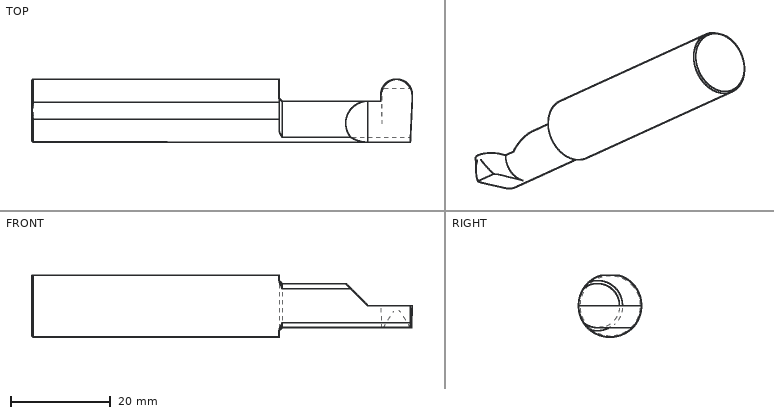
import cadquery as cq

total_length = 76.2
shank_diameter = 12.65
shank_height = 12.4
shank_length = 49.5
end_chamfer = 0.3

neck_radius = 4.4
neck_side = 1.9
root_flare = 0.6

ramp_foot = 67.3
head_start = 69.9
head_draft = 2.0
end_relief = 0.4

shank_radius = shank_diameter / 2
flat_z = shank_height - shank_radius
neck_y = neck_side - neck_radius
nose_radius = (total_length - head_start) / 2
nose_x = head_start + nose_radius
nose_y = shank_radius - nose_radius
head_overlap = nose_x


def bar(radius, start, end, y=0.0):
    """Round bar along X."""
    return cq.Workplane("YZ", origin=(start, y, 0)).circle(radius).extrude(end - start)


def make_shank():
    shank = bar(shank_radius, 0, shank_length).faces("<X").chamfer(end_chamfer)
    above_flat = cq.Workplane("XY", origin=(0, 0, flat_z)).rect(
        2 * total_length, shank_diameter
    ).extrude(shank_radius)
    return shank.cut(above_flat)


def make_neck():
    neck = bar(neck_radius, shank_length, head_overlap, neck_y)
    flare = (
        cq.Workplane("YZ", origin=(shank_length, neck_y, 0))
        .circle(neck_radius + root_flare)
        .workplane(offset=root_flare)
        .circle(neck_radius)
        .loft()
    )
    above_ramp = (
        cq.Workplane("XZ")
        .moveTo(ramp_foot, 0)
        .lineTo(ramp_foot - shank_radius, shank_radius)
        .lineTo(total_length, shank_radius)
        .lineTo(total_length, 0)
        .close()
        .extrude(shank_radius, both=True)
    )
    return neck.union(flare).cut(above_ramp)


def make_head():
    outline = (
        cq.Workplane("XY")
        .moveTo(head_start, -shank_diameter)
        .lineTo(head_start, nose_y)
        .threePointArc((nose_x, shank_radius), (total_length, nose_y))
        .lineTo(total_length, neck_side)
        .lineTo(total_length - end_relief, -shank_radius)
        .lineTo(total_length - end_relief, -shank_diameter)
        .close()
        .extrude(-neck_radius, taper=head_draft)
    )
    flank = bar(neck_radius, head_start, total_length, neck_y)
    nose_block = cq.Workplane("XY").box(
        total_length - head_start, shank_radius - neck_y, neck_radius, centered=False
    ).translate((head_start, neck_y, -neck_radius))
    return outline.intersect(flank.union(nose_block))


envelope = bar(shank_radius, 0, total_length)
tool_end = make_neck().union(make_head()).intersect(envelope)
result = make_shank().union(tool_end)